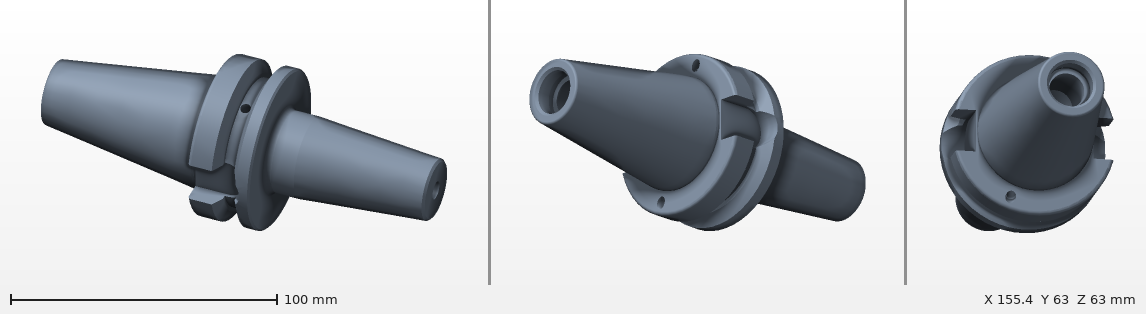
import cadquery as cq
import math

LENGTH = 155.4
FLANGE_R = 63.0 / 2

GAUGE_X = 65.1
GAUGE_R = 22.2
TAPER_SLOPE = 7 / 48
TAPER_FILLET = 0.8
RELIEF_X = 66.0
RELIEF_R = 44.0 / 2

FLANGE_X = 67.0
FLANGE_END_X = 92.3
FLANGE_FILLET = 1.4
FLANGE_CHAMFER = 0.8
GROOVE_START_X = 79.4
GROOVE_END_X = 84.2
GROOVE_R = 25.2
GROOVE_LIP_R = 26.9
GROOVE_SIDE_RUN = (FLANGE_R - GROOVE_LIP_R) * math.tan(math.radians(30))

NOSE_R = 32.0 / 2
NOSE_FILLET = 2.6
NOSE_FILLET_RISE = 1.5
CONE_X = 104.3
NOSE_END_R = 12.1
NOSE_CHAMFER = 1.0

MOUTH_R = 9.5
BORE_R = 17.0 / 2
BORE_DEPTH = 9.0
RECESS_R = 17.5 / 2
RECESS_LENGTH = 2.5
PILOT_R = 13.5 / 2
PILOT_DEPTH = 31.1
DRILL_HALF_ANGLE = 59
THROUGH_R = 7.0 / 2

SLOT_WIDTH = 16.2
SLOT_END_X = 88.3
SLOT_FLOOR = 22.5

COOLANT_ANGLE = 20.3
COOLANT_FACE_R = 26.7
COOLANT_TILT = 35
COOLANT_D = 3.3
PORT_D = 4.0
PORT_DEPTH = 2.8
PLUG_X = 81.7


def make_body():
    """Revolve the outer profile about X."""
    start_r = GAUGE_R - GAUGE_X * TAPER_SLOPE
    edge_inset = TAPER_FILLET * (1 - math.sqrt(0.5))
    arc_inset = FLANGE_FILLET * (1 - math.sqrt(0.5))
    nose_arc_drop = NOSE_FILLET_RISE * (1 - math.sqrt(0.5))
    nose_arc_run = NOSE_FILLET * (1 - math.sqrt(0.5))
    profile = (
        cq.Workplane("XY")
        .moveTo(0, 0)
        .lineTo(0, start_r - TAPER_FILLET)
        .threePointArc(
            (edge_inset, start_r - edge_inset),
            (TAPER_FILLET, start_r + TAPER_FILLET * TAPER_SLOPE),
        )
        .lineTo(GAUGE_X, GAUGE_R)
        .lineTo(RELIEF_X, GAUGE_R)
        .lineTo(RELIEF_X, RELIEF_R)
        .lineTo(FLANGE_X, RELIEF_R)
        .lineTo(FLANGE_X, FLANGE_R - FLANGE_FILLET)
        .threePointArc(
            (FLANGE_X + arc_inset, FLANGE_R - arc_inset),
            (FLANGE_X + FLANGE_FILLET, FLANGE_R),
        )
        .lineTo(GROOVE_START_X - GROOVE_SIDE_RUN, FLANGE_R)
        .lineTo(GROOVE_START_X, GROOVE_LIP_R)
        .lineTo(GROOVE_START_X, GROOVE_R)
        .lineTo(GROOVE_END_X, GROOVE_R)
        .lineTo(GROOVE_END_X, GROOVE_LIP_R)
        .lineTo(GROOVE_END_X + GROOVE_SIDE_RUN, FLANGE_R)
        .lineTo(FLANGE_END_X - FLANGE_CHAMFER, FLANGE_R)
        .lineTo(FLANGE_END_X, FLANGE_R - FLANGE_CHAMFER)
        .lineTo(FLANGE_END_X, NOSE_R + NOSE_FILLET_RISE)
        .threePointArc(
            (FLANGE_END_X + nose_arc_run, NOSE_R + nose_arc_drop),
            (FLANGE_END_X + NOSE_FILLET, NOSE_R),
        )
        .lineTo(CONE_X, NOSE_R)
        .lineTo(LENGTH - NOSE_CHAMFER, NOSE_END_R)
        .lineTo(LENGTH, NOSE_END_R - NOSE_CHAMFER)
        .lineTo(LENGTH, 0)
        .close()
    )
    return profile.revolve(360, (0, 0, 0), (1, 0, 0))


def make_bore():
    """Stepped bore entering at the taper end and running right through."""
    cone_length = (PILOT_R - THROUGH_R) / math.tan(math.radians(DRILL_HALF_ANGLE))
    profile = (
        cq.Workplane("XY")
        .moveTo(0, 0)
        .lineTo(0, MOUTH_R)
        .lineTo(MOUTH_R - BORE_R, BORE_R)
        .lineTo(BORE_DEPTH - RECESS_LENGTH, BORE_R)
        .lineTo(BORE_DEPTH - RECESS_LENGTH, RECESS_R)
        .lineTo(BORE_DEPTH, RECESS_R)
        .lineTo(BORE_DEPTH, PILOT_R)
        .lineTo(PILOT_DEPTH, PILOT_R)
        .lineTo(PILOT_DEPTH + cone_length, THROUGH_R)
        .lineTo(LENGTH, THROUGH_R)
        .lineTo(LENGTH, 0)
        .close()
    )
    return profile.revolve(360, (0, 0, 0), (1, 0, 0))


def make_drive_slot(side):
    """Round-ended slot with a flat floor; side is +1 or -1 along Y."""
    center_x = SLOT_END_X - SLOT_WIDTH / 2
    straight = (
        cq.Workplane("XY")
        .box(center_x - RELIEF_X, FLANGE_R, SLOT_WIDTH, centered=(False, False, True))
        .translate((RELIEF_X, 0, 0))
    )
    round_end = (
        cq.Workplane("XZ", origin=(center_x, 0, 0))
        .circle(SLOT_WIDTH / 2)
        .extrude(-FLANGE_R)
    )
    slot = straight.union(round_end).translate((0, SLOT_FLOOR, 0))
    return slot if side > 0 else slot.mirror("XZ")


def drill(start, direction, diameter, depth):
    return cq.Workplane(obj=cq.Solid.makeCylinder(diameter / 2, depth, start, direction))


def make_coolant_passage(turn):
    """Sloping face port and channel meeting a radial hole in the V groove."""
    tilt = math.radians(COOLANT_TILT)
    inward = cq.Vector(math.cos(tilt), 0, -math.sin(tilt))
    mouth = cq.Vector(FLANGE_X, 0, COOLANT_FACE_R)
    channel_length = (PLUG_X - FLANGE_X) / math.cos(tilt)
    meeting_r = COOLANT_FACE_R - (PLUG_X - FLANGE_X) * math.tan(tilt)

    port = drill(mouth - inward * PORT_D, inward, PORT_D, PORT_D + PORT_DEPTH)
    channel = drill(mouth, inward, COOLANT_D, channel_length)
    radial = drill(
        cq.Vector(PLUG_X, 0, GROOVE_LIP_R), cq.Vector(0, 0, -1), PORT_D, GROOVE_LIP_R - meeting_r
    )
    passage = port.union(channel).union(radial)
    return passage.rotate((0, 0, 0), (1, 0, 0), COOLANT_ANGLE + turn)


result = make_body().cut(make_bore())
for slot_side in (1, -1):
    result = result.cut(make_drive_slot(slot_side))
for half_turn in (0, 180):
    result = result.cut(make_coolant_passage(half_turn))